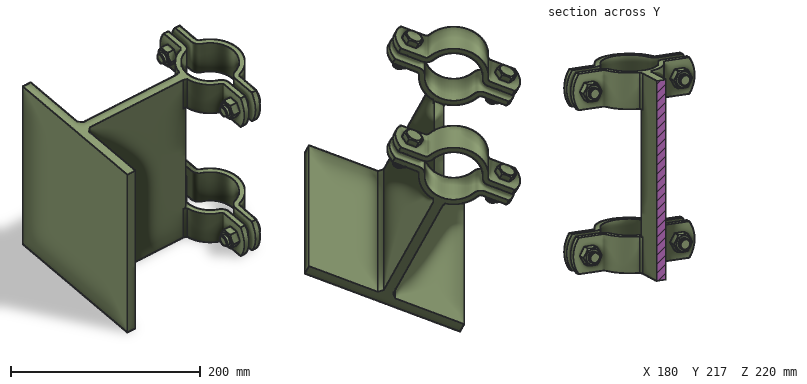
import cadquery as cq
import math

PLATE_WIDTH = 180.0
HEIGHT = 220.0
DEPTH = 217.0
PLATE_THICKNESS = 10.8
WEB_THICKNESS = 11.0
WEB_WELD_LEG = 4.6

BAND_HEIGHT = 40.0
BAND_THICKNESS = 6.2
PIPE_RADIUS = 30.5
BAND_RADIUS = PIPE_RADIUS + BAND_THICKNESS
BEND_RADIUS = 4.0
EAR_GAP = 8.8
EAR_REACH = 72.4
EAR_CROWN = 6.4
CLAMP_WELD_WIDTH = 1.3
CLAMP_WELD_LENGTH = 4.0
CLAMP_Y = DEPTH - BAND_RADIUS
CLAMP_Z = (HEIGHT - BAND_HEIGHT) / 2

BOLT_X = 54.0
BOLT_DIAMETER = 12.0
BOLT_TIP_DIAMETER = 11.0
BOLT_TIP_LENGTH = 1.0
BOLT_PROTRUSION = 4.5
HEX_FLATS = 19.1
HEX_FACE_DIAMETER = 17.2
HEX_BEVEL_ANGLE = 30
HEAD_HEIGHT = 7.5
NUT_HEIGHT = 9.7

EAR_OUTER_FACE = EAR_GAP / 2 + BAND_THICKNESS
EDGE_SEARCH_REACH = 0.2


def make_tee():
    """Plate, web and the bevelled weld on both sides of the web root."""
    half_web = WEB_THICKNESS / 2
    web_end = CLAMP_Y - BAND_RADIUS
    half_outline = [
        (0, 0),
        (PLATE_WIDTH / 2, 0),
        (PLATE_WIDTH / 2, PLATE_THICKNESS),
        (half_web + WEB_WELD_LEG, PLATE_THICKNESS),
        (half_web, PLATE_THICKNESS + WEB_WELD_LEG),
        (half_web, web_end),
        (0, web_end),
    ]
    half = cq.Workplane("XY").polyline(half_outline).close().extrude(HEIGHT / 2, both=True)
    return half.union(half.mirror("YZ"))


def make_ears():
    """Both ears as one strip with crowned ends, extruded along the bolt direction."""
    corner_x = EAR_REACH - EAR_CROWN
    half_height = BAND_HEIGHT / 2
    return (
        cq.Workplane("XZ")
        .moveTo(-corner_x, -half_height)
        .lineTo(corner_x, -half_height)
        .threePointArc((EAR_REACH, 0), (corner_x, half_height))
        .lineTo(-corner_x, half_height)
        .threePointArc((-EAR_REACH, 0), (-corner_x, -half_height))
        .close()
        .extrude(-BAND_THICKNESS)
        .translate((0, EAR_GAP / 2, 0))
    )


def edges_at(x, y):
    """Selector for the upright edge passing through (x, y)."""
    reach = EDGE_SEARCH_REACH
    return cq.selectors.BoxSelector((x - reach, y - reach, -reach), (x + reach, y + reach, reach))


def make_band_half():
    """Half clamp on the +Y side of the pipe axis, with its two bends rounded."""
    barrel = cq.Workplane("XY").circle(BAND_RADIUS).extrude(BAND_HEIGHT / 2, both=True)
    bore = cq.Workplane("XY").circle(PIPE_RADIUS).extrude(BAND_HEIGHT, both=True)
    far_side = cq.Workplane("XY").box(4 * BAND_RADIUS, 2 * BAND_RADIUS, BAND_HEIGHT)
    far_side = far_side.translate((0, BAND_RADIUS + EAR_GAP / 2, 0))
    half = barrel.intersect(far_side).union(make_ears()).cut(bore)

    inside_x = math.sqrt(PIPE_RADIUS**2 - (EAR_GAP / 2) ** 2)
    outside_x = math.sqrt(BAND_RADIUS**2 - EAR_OUTER_FACE**2)
    for side in (-1, 1):
        inside_edge = edges_at(side * inside_x, EAR_GAP / 2)
        outside_edge = edges_at(side * outside_x, EAR_OUTER_FACE)
        half = half.edges(inside_edge).fillet(BEND_RADIUS + BAND_THICKNESS)
        half = half.edges(outside_edge).fillet(BEND_RADIUS)
    return half


def make_hex(height):
    """Hexagon along +Y from Y = 0, bevelled by a cone on its far face."""
    corners = HEX_FLATS / math.cos(math.pi / 6)
    prism = cq.Workplane("XZ").polygon(6, corners).extrude(-height)
    rise = (corners - HEX_FACE_DIAMETER) / 2 * math.tan(math.radians(HEX_BEVEL_ANGLE))
    cone = (
        cq.Workplane("XY")
        .polyline([
            (0, 0),
            (corners / 2, 0),
            (corners / 2, height - rise),
            (HEX_FACE_DIAMETER / 2, height),
            (0, height),
        ])
        .close()
        .revolve(360, (0, 0), (0, 1))
    )
    return prism.intersect(cone)


def make_bolt():
    """Bolt along Y with its head on the +Y ear and its nut on the -Y ear."""
    shank_end = -EAR_OUTER_FACE - NUT_HEIGHT - BOLT_PROTRUSION
    shank = (
        cq.Workplane("XY")
        .polyline([
            (0, EAR_OUTER_FACE),
            (BOLT_DIAMETER / 2, EAR_OUTER_FACE),
            (BOLT_DIAMETER / 2, shank_end + BOLT_TIP_LENGTH),
            (BOLT_TIP_DIAMETER / 2, shank_end),
            (0, shank_end),
        ])
        .close()
        .revolve(360, (0, 0), (0, 1))
    )
    head = make_hex(HEAD_HEIGHT).translate((0, EAR_OUTER_FACE, 0))
    nut = make_hex(NUT_HEIGHT).mirror("XZ").translate((0, -EAR_OUTER_FACE, 0))
    return shank.union(head).union(nut)


def make_clamp():
    """Two facing band halves, two bolts and the weld at the web, about the pipe axis."""
    half = make_band_half()
    clamp = half.union(half.mirror("XZ"))
    bolt = make_bolt()
    for side in (-1, 1):
        clamp = clamp.union(bolt.translate((side * BOLT_X, 0, 0)))

    half_web = WEB_THICKNESS / 2
    weld_half_width = half_web + CLAMP_WELD_WIDTH
    weld_top = -math.sqrt(BAND_RADIUS**2 - weld_half_width**2)
    weld = (
        cq.Workplane("XY")
        .polyline([
            (-half_web, weld_top - CLAMP_WELD_LENGTH),
            (half_web, weld_top - CLAMP_WELD_LENGTH),
            (weld_half_width, weld_top),
            (-weld_half_width, weld_top),
        ])
        .close()
        .extrude(BAND_HEIGHT / 2, both=True)
    )
    return clamp.union(weld)


result = make_tee()
clamp = make_clamp()
for end in (-1, 1):
    result = result.union(clamp.translate((0, CLAMP_Y, end * CLAMP_Z)))